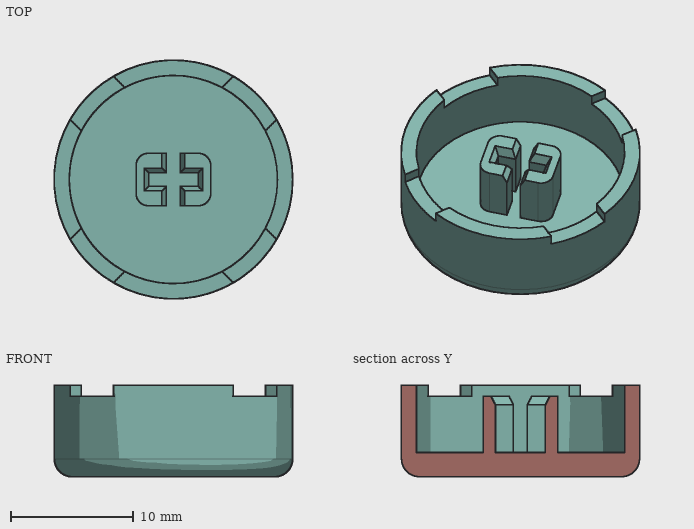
import cadquery as cq
import math

outer_diameter = 19.5
inner_diameter = 17.0
cup_height = 7.5
floor_thickness = 2.0
bottom_fillet = 1.5

notch_width = 5.0
notch_depth = 0.9
notch_angles = (45, 135)

stem_length = 6.1
stem_width = 4.28
stem_corner_radius = 1.0
stem_top = cup_height - notch_depth
stem_height = stem_top - floor_thickness

socket_length = 4.05
arm_width = 1.13
lead_in_width = 0.37
lead_in_depth = 0.72
lead_in_angle = math.degrees(math.atan(lead_in_width / lead_in_depth))


def make_cup():
    body = cq.Workplane("XY").circle(outer_diameter / 2).extrude(cup_height)
    body = body.faces("<Z").edges().fillet(bottom_fillet)
    cavity = (
        cq.Workplane("XY")
        .workplane(offset=floor_thickness)
        .circle(inner_diameter / 2)
        .extrude(cup_height - floor_thickness)
    )
    return body.cut(cavity)


def make_notch(angle):
    """Straight bar across the whole rim, turned about the cup axis."""
    return (
        cq.Workplane("XY")
        .workplane(offset=cup_height - notch_depth)
        .rect(2 * outer_diameter, notch_width)
        .extrude(notch_depth)
        .rotate((0, 0, 0), (0, 0, 1), angle)
    )


def make_socket_arm(size_x, size_y):
    """Slot down to the floor, widening towards the stem top."""
    slot = (
        cq.Workplane("XY")
        .workplane(offset=floor_thickness)
        .rect(size_x, size_y)
        .extrude(stem_height)
    )
    lead_in = (
        cq.Workplane("XY")
        .workplane(offset=stem_top)
        .rect(size_x + 2 * lead_in_width, size_y + 2 * lead_in_width)
        .extrude(-lead_in_depth, taper=lead_in_angle)
    )
    return slot.union(lead_in)


def make_stem():
    stem = (
        cq.Workplane("XY")
        .workplane(offset=floor_thickness)
        .rect(stem_length, stem_width)
        .extrude(stem_height)
        .edges("|Z")
        .fillet(stem_corner_radius)
    )
    long_arm = make_socket_arm(socket_length, arm_width)
    cross_arm = make_socket_arm(arm_width, 2 * stem_width)
    return stem.cut(long_arm).cut(cross_arm)


cup = make_cup()
for notch_angle in notch_angles:
    cup = cup.cut(make_notch(notch_angle))

result = cup.union(make_stem())